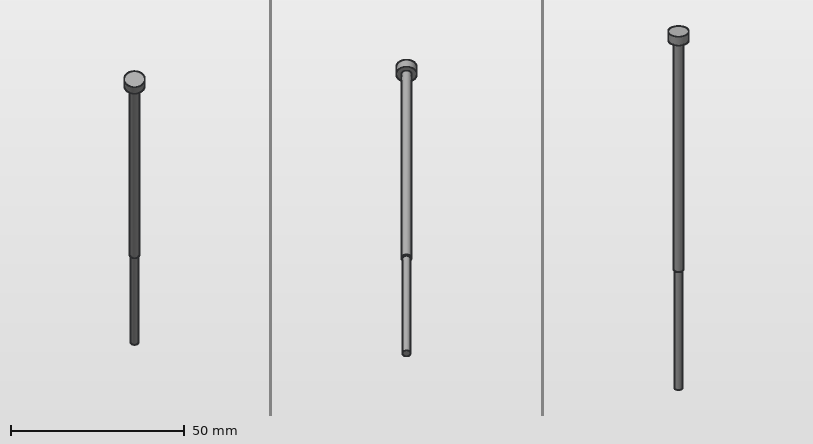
import cadquery as cq

total_length = 120.0
head_diameter = 6.0
head_thickness = 3.0
shank_diameter = 3.0
tip_diameter = 2.4
tip_length = 39.6
shoulder_cone_height = 0.4

head_bottom = total_length - head_thickness
shank_bottom = tip_length + shoulder_cone_height

profile = (
    cq.Workplane("XZ")
    .lineTo(tip_diameter / 2, 0)
    .lineTo(tip_diameter / 2, tip_length)
    .lineTo(shank_diameter / 2, shank_bottom)
    .lineTo(shank_diameter / 2, head_bottom)
    .lineTo(head_diameter / 2, head_bottom)
    .lineTo(head_diameter / 2, total_length)
    .lineTo(0, total_length)
    .close()
)

result = profile.revolve(360, (0, 0, 0), (0, 1, 0))